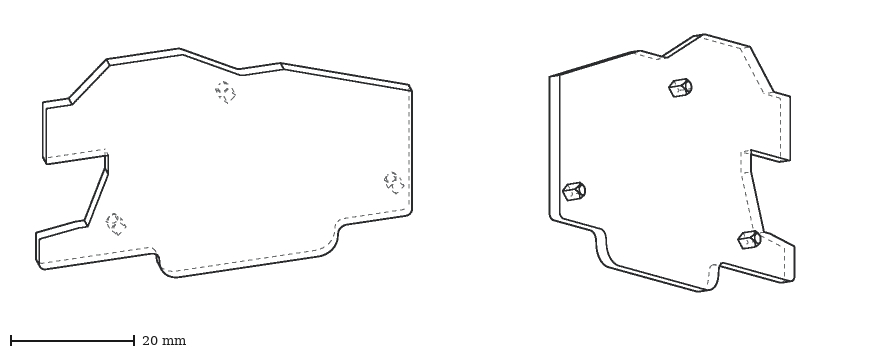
import cadquery as cq

plate_length = 62.65
plate_height = 42.2
plate_thickness = 2.05
peg_length = 3.0

base_height = 5.25
back_height = 28.8
shelf_height = 36.6
shelf_start = 21.55
shelf_end = 28.7
crown_start = 38.5
crown_end = 50.8
nose_start = 57.1
nose_end = 61.5
nose_top = 35.8
nose_bottom = 25.2
notch_depth_end = 51.05
notch_bend_height = 21.6
notch_floor_start = 54.5
notch_floor_end = 56.05
notch_floor_height = 12.2
front_height = 11.2
base_corner_radius = 1.1
tip_corner_radius = 0.3
ramp_bend_radius = 1.25

tab_center = 27.45
tab_top_width = 30.3
tab_bottom_width = 29.3
tab_root_radius = 1.45
tab_corner_radius = 3.25

peg_side = 1.9
peg_tip_radius = 0.8
peg_tip_length = 0.5
low_peg_height = 9.8
peg_places = [(2.1, low_peg_height), (30.45, 31.75), (48.85, low_peg_height)]


def to_plane(distance, height):
    """Turn a distance from the back edge into a point of the YZ plane."""
    return (plate_length / 2 - distance, height)


def round_corners(body, corners, radius):
    """Round the through-thickness edges at the given outline corners."""
    for distance, height in corners:
        y, z = to_plane(distance, height)
        edge = cq.selectors.NearestToPointSelector((plate_thickness / 2, y, z))
        body = body.edges("|X").edges(edge).fillet(radius)
    return body


def make_plate():
    tab_top = [tab_center + side * tab_top_width / 2 for side in (-1, 1)]
    tab_bottom = [tab_center + side * tab_bottom_width / 2 for side in (-1, 1)]
    base_corners = [(0, base_height), (plate_length, base_height)]
    tip_corners = [(nose_end, nose_top), (nose_end, nose_bottom), (plate_length, front_height)]
    ramp_bends = [(shelf_end, shelf_height), (crown_start, plate_height)]
    tab_roots = [(distance, base_height) for distance in tab_top]
    tab_corners = [(distance, 0) for distance in tab_bottom]
    outline = [
        base_corners[0],
        (0, back_height),
        (shelf_start, shelf_height),
        *ramp_bends,
        (crown_end, plate_height),
        (nose_start, nose_top),
        *tip_corners[:2],
        (notch_depth_end, nose_bottom),
        (notch_depth_end, notch_bend_height),
        (notch_floor_start, notch_floor_height),
        (notch_floor_end, notch_floor_height),
        tip_corners[2],
        base_corners[1],
        tab_roots[1],
        tab_corners[1],
        tab_corners[0],
        tab_roots[0],
    ]
    points = [to_plane(distance, height) for distance, height in outline]
    plate = cq.Workplane("YZ").polyline(points).close().extrude(plate_thickness)
    plate = round_corners(plate, base_corners, base_corner_radius)
    plate = round_corners(plate, tip_corners, tip_corner_radius)
    plate = round_corners(plate, ramp_bends, ramp_bend_radius)
    plate = round_corners(plate, tab_roots, tab_root_radius)
    return round_corners(plate, tab_corners, tab_corner_radius)


def make_peg():
    """Peg along the X axis, from the plate face at X = 0 to its tip."""
    half_diagonal = peg_side / 2**0.5
    bar = (
        cq.Workplane("YZ")
        .rect(peg_side, peg_side)
        .extrude(-peg_length)
        .rotate((0, 0, 0), (1, 0, 0), 45)
    )
    tip_envelope = (
        cq.Workplane("XY")
        .moveTo(0, 0)
        .lineTo(0, half_diagonal)
        .lineTo(peg_tip_length - peg_length, half_diagonal)
        .lineTo(-peg_length, peg_tip_radius)
        .lineTo(-peg_length, 0)
        .close()
        .revolve(360, (0, 0, 0), (1, 0, 0))
    )
    return bar.intersect(tip_envelope)


result = make_plate()
peg = make_peg()
for peg_distance, peg_height in peg_places:
    peg_y, peg_z = to_plane(peg_distance, peg_height)
    result = result.union(peg.translate((0, peg_y, peg_z)))